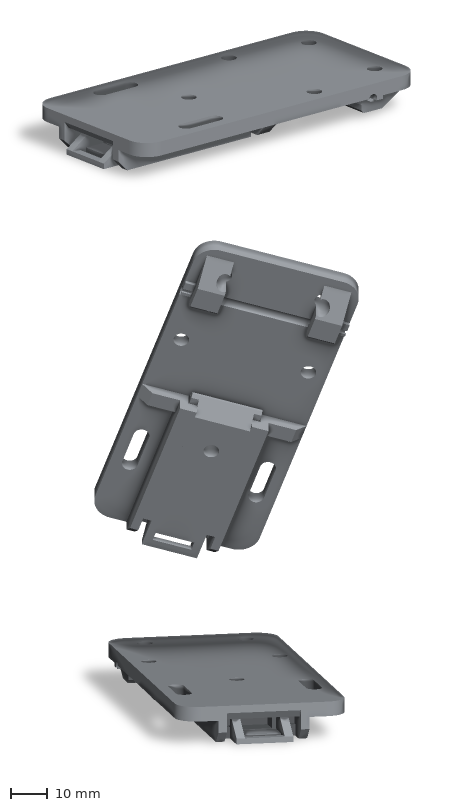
import cadquery as cq
import math


plate_width = 47.0
plate_length = 97.3
plate_thickness = 4.0
corner_radius = 6.0
hole_diameter = 4.2
back_hole_spacing = 28.0
back_hole_y = 89.3
side_hole_spacing = 36.3
side_hole_y = 64.6
center_hole_y = 35.4
slot_spacing = 36.15
slot_width = 4.3
slot_length = 14.5
slot_y = 24.5
plate_bottom = -plate_thickness

base_depth = 10.5
hook_width = 41.3
hook_depth = 9.0
hook_back_y = plate_length - 2.8
hook_heel_y = plate_length - 10.8
hook_tip_y = plate_length - 18.2
hook_chamfer = 1.0
lip_top = -5.0
lip_slope_run = 1.1
lip_slope_drop = 1.4
jaw_gap = 25.8
riser_back_y = plate_length - 12.9
relief_radius = 1.5
relief_y = plate_length - 16.45
relief_z = -4.4
ridge_back_y = relief_y + 0.2
ridge_height = 0.6

housing_width = 25.3
housing_length = 46.8
housing_chamfer = 3.2
channel_width = 20.6
ceiling_rise = 2.0
ceiling_run = 1.5
lip_height = 3.2
lip_front_y = 7.4
stem_width = 15.8
wing_length = 4.3
wing_height = 3.0

flange_clearance = 0.3
flange_gap = 0.34
overall_length = 98.5
latch_front_y = plate_length - overall_length
bar_height = 1.6
bar_length = 2.4
handle_opening = 11.0
floor_front_y = 3.7
arm_angle = 34
wall_foot_y = 9.85
wall_draft = 5
nose_base_y = 47.3
nose_tip_y = 49.4
nose_shoulder_z = -4.9
nose_tip_top = -5.5
nose_tip_bottom = -6.2
pocket_width = 8.7
pocket_floor_rise = 0.2
pocket_end_y = 15.8

flange_width = channel_width - 2 * flange_clearance
lip_z = -base_depth + lip_height
bar_top = -base_depth + bar_height


def box(width, y_front, y_back, z_bottom, z_top):
    """Box centred on X = 0 between two Y and two Z positions."""
    length = y_back - y_front
    return (
        cq.Workplane("XY", origin=(0, (y_front + y_back) / 2, z_bottom))
        .rect(width, length)
        .extrude(z_top - z_bottom)
    )


def side_profile(points, width):
    """Closed (Y, Z) outline extruded symmetrically about X = 0."""
    return cq.Workplane("YZ").polyline(points).close().extrude(width / 2, both=True)


def make_plate():
    plate = box(plate_width, 0, plate_length, plate_bottom, 0).edges("|Z").fillet(corner_radius)
    slot_points = [(side * slot_spacing / 2, slot_y) for side in (-1, 1)]
    slots = (
        cq.Workplane("XY")
        .pushPoints(slot_points)
        .slot2D(slot_length, slot_width, 90)
        .extrude(-plate_thickness)
    )
    return plate.cut(slots)


def make_holes():
    """Five round holes running through the plate and whatever lies below it."""
    hole_points = [(0, center_hole_y)]
    for side in (-1, 1):
        hole_points.append((side * back_hole_spacing / 2, back_hole_y))
        hole_points.append((side * side_hole_spacing / 2, side_hole_y))
    return cq.Workplane("XY").pushPoints(hole_points).circle(hole_diameter / 2).extrude(-base_depth)


def make_hook():
    jaw = side_profile(
        [
            (hook_back_y, plate_bottom),
            (hook_heel_y, -hook_depth),
            (hook_tip_y + hook_chamfer, -hook_depth),
            (hook_tip_y, -hook_depth + hook_chamfer),
            (hook_tip_y, lip_top - lip_slope_drop),
            (hook_tip_y + lip_slope_run, lip_top),
            (riser_back_y, lip_top),
            (riser_back_y, plate_bottom),
        ],
        hook_width,
    )
    riser = box(plate_width, relief_y, riser_back_y, lip_top, plate_bottom)
    return jaw.union(riser)


def make_jaw_gap():
    """Opening that splits the hook into a left and a right jaw."""
    return box(jaw_gap, hook_tip_y, hook_back_y, -hook_depth, plate_bottom)


def make_relief():
    """Round groove above the lip, stopping at the level of the lip."""
    groove = (
        cq.Workplane("YZ")
        .center(relief_y, relief_z)
        .circle(relief_radius)
        .extrude(plate_width / 2, both=True)
    )
    return groove.intersect(box(plate_width, 0, plate_length, lip_top, 0))


def make_ridge():
    """Small sharp ridge on the front edge of the lip that keeps the rail hooked."""
    lip_edge_y = hook_tip_y + lip_slope_run
    return side_profile(
        [(lip_edge_y, lip_top), (ridge_back_y, lip_top), (ridge_back_y, lip_top + ridge_height)],
        plate_width,
    )


def make_housing():
    block = side_profile(
        [
            (0, plate_bottom),
            (0, -base_depth + housing_chamfer),
            (housing_chamfer, -base_depth),
            (housing_length, -base_depth),
            (housing_length, plate_bottom),
        ],
        housing_width,
    )
    wings = (
        cq.Workplane("XZ", origin=(0, housing_length, 0))
        .polyline(
            [
                (-plate_width / 2, plate_bottom),
                (plate_width / 2, plate_bottom),
                (plate_width / 2 - wing_height, plate_bottom - wing_height),
                (-plate_width / 2 + wing_height, plate_bottom - wing_height),
            ]
        )
        .close()
        .extrude(wing_length)
    )
    return block.union(wings)


def make_channel():
    """T-shaped passage for the latch, with a ceiling that slopes up at the front."""
    upper = box(channel_width, 0, housing_length, lip_z, plate_bottom)
    lower = box(stem_width, 0, housing_length, -base_depth, lip_z)
    mouth = box(channel_width, 0, lip_front_y, -base_depth, lip_z)
    ceiling = side_profile(
        [(0, plate_bottom), (0, plate_bottom + ceiling_rise), (ceiling_run, plate_bottom)],
        channel_width,
    )
    return upper.union(lower).union(mouth).union(ceiling)


def make_base():
    hook = make_hook().cut(make_relief()).union(make_ridge()).cut(make_jaw_gap())
    base = make_plate().cut(make_relief()).union(hook)
    return base.union(make_housing()).cut(make_channel()).cut(make_holes())


def make_latch_blank():
    """Latch without its cut-outs: sloping arms in front, hooked nose behind."""
    arm_run = (plate_bottom - bar_top) / math.tan(math.radians(arm_angle))
    nose_bottom_y = nose_tip_y - (base_depth + nose_tip_bottom)
    return side_profile(
        [
            (latch_front_y, -base_depth),
            (latch_front_y, bar_top),
            (latch_front_y + arm_run, plate_bottom),
            (nose_base_y, plate_bottom),
            (nose_base_y, nose_shoulder_z),
            (nose_tip_y, nose_tip_top),
            (nose_tip_y, nose_tip_bottom),
            (nose_bottom_y, -base_depth),
        ],
        flange_width,
    )


def make_latch_section():
    """T-shaped envelope: wide flange above the housing lips, stem between them."""
    stem = box(stem_width, latch_front_y, nose_tip_y, -base_depth, plate_bottom)
    flange = box(flange_width, lip_front_y, nose_tip_y, lip_z + flange_gap, plate_bottom)
    return stem.union(flange)


def make_handle_opening():
    """Space between the arms above the floor, ending at a steep back wall."""
    wall_lean = (plate_bottom - bar_top) * math.tan(math.radians(wall_draft))
    return side_profile(
        [
            (latch_front_y, bar_top),
            (latch_front_y, plate_bottom),
            (wall_foot_y + wall_lean, plate_bottom),
            (wall_foot_y, bar_top),
        ],
        handle_opening,
    )


def make_latch():
    floor_slot = box(handle_opening, latch_front_y + bar_length, floor_front_y, -base_depth, bar_top)
    pocket = box(pocket_width, wall_foot_y, pocket_end_y, bar_top + pocket_floor_rise, plate_bottom)
    latch = make_latch_blank().intersect(make_latch_section())
    return latch.cut(make_handle_opening()).cut(floor_slot).cut(pocket).cut(make_holes())


base = make_base()
latch = make_latch()
result = cq.Compound.makeCompound([base.val(), latch.val()])